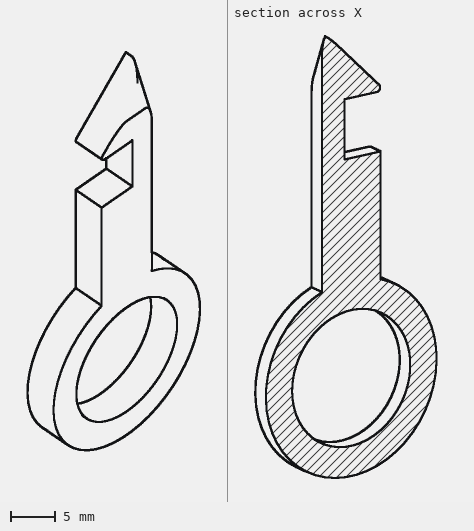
import cadquery as cq

thickness = 4.1
total_height = 53.55
ring_radius = 11.645
hole_radius = 8.005

stem_width = 8.0
notch_floor = 37.7
notch_top = 44.75
neck_width = 3.1
hook_reach = 8.6
hook_nose_radius = 0.5

bevel_start_x = 2.0
bevel_drop = 5.2
bevel_edge_radius = 1.0

back = stem_width / 2
front = -stem_width / 2
neck_front = back - neck_width
hook_point = back - hook_reach


def ring_blank():
    """Disc of the finger ring, with its lowest point at Z = 0."""
    return cq.Workplane("YZ").center(0, ring_radius).circle(ring_radius).extrude(thickness)


def hooked_stem():
    """Stem with a side notch and a pointed hook with a rounded nose."""
    outline = [
        (back, ring_radius),
        (back, total_height),
        (hook_point, notch_top),
        (neck_front, notch_top),
        (neck_front, notch_floor),
        (front, notch_floor),
        (front, ring_radius),
    ]
    stem = cq.Workplane("YZ").polyline(outline).close().extrude(thickness)
    nose = cq.selectors.NearestToPointSelector((thickness / 2, hook_point, notch_top))
    return stem.edges(nose).fillet(hook_nose_radius)


def bevel_cutter():
    """Triangular prism along Y that removes the top +X corner of the hook."""
    corners = [
        (bevel_start_x, total_height),
        (thickness, total_height),
        (thickness, total_height - bevel_drop),
    ]
    return cq.Workplane("XZ").polyline(corners).close().extrude(stem_width, both=True)


def beveled_stem():
    """Stem with the bevel cut, its edges to the ramp and to the back face rounded."""
    stem = hooked_stem().cut(bevel_cutter())
    middle_x = (bevel_start_x + thickness) / 2
    half_drop = bevel_drop / 2
    ramp_run = half_drop * hook_reach / (total_height - notch_top)
    middle_z = total_height - half_drop
    ramp_edge_point = (middle_x, back - ramp_run, middle_z)
    back_edge_point = (middle_x, back, middle_z)
    ramp_edge = cq.selectors.NearestToPointSelector(ramp_edge_point)
    back_edge = cq.selectors.NearestToPointSelector(back_edge_point)
    return stem.edges(ramp_edge + back_edge).fillet(bevel_edge_radius)


hole = cq.Workplane("YZ").center(0, ring_radius).circle(hole_radius).extrude(thickness)
result = ring_blank().union(beveled_stem()).cut(hole)